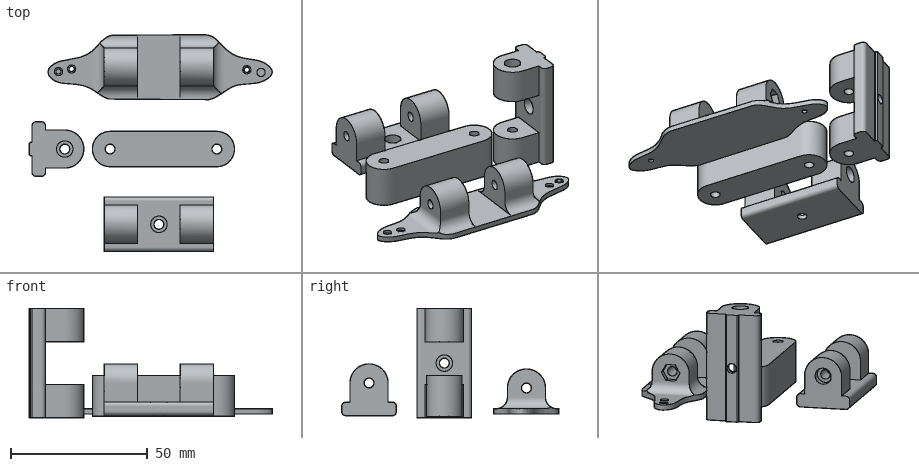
import cadquery as cq
import math

LENGTH = 40.0
GAP = 15.5
POST_RADIUS = 7.0
SCREW_DIAMETER = 3.5
HEAD_DIAMETER = 6.0
HEAD_DEPTH = 3.25
OVERLAP = 1.0

BASE_WIDTH = 20.0
BASE_THICKNESS = 5.0
BASE_EDGE_RADIUS = 1.5
BRACKET_AXIS_HEIGHT = BASE_THICKNESS + POST_RADIUS
RAIL_WIDTH = 5.0
RAIL_HEIGHT = 1.0
RAIL_CHAMFER = 0.5

LINK_WIDTH = 13.0
LINK_HEIGHT = 15.0
LINK_HOLE_SPACING = 39.0

PLATE_THICKNESS = 2.0
PLATE_AXIS_HEIGHT = 9.5
FLARE_RADIUS = 4.0
NUT_ACROSS_FLATS = 6.0
NUT_DEPTH = 2.5
POCKET_DIAMETER = 3.0
POCKET_DEPTH = 1.0
SMALL_DIAMETER = 1.84
STUB_POCKET = (-36.7, -1.7)
OPEN_POCKET = (37.3, -2.0)
THROUGH_HOLES = [(-31.9, -0.75), (32.1, -1.05)]

LEFT_END = [
    (-17.0, 11.6), (-18.6, 11.1), (-21.9, 8.4), (-24.3, 5.9), (-27.6, 4.0), (-34.1, 2.5), (-38.2, 1.2),
    (-40.55, -1.85),
    (-38.2, -5.0), (-34.1, -6.1), (-27.6, -6.9), (-24.3, -8.3), (-20.3, -10.9), (-18.0, -11.8),
]
RIGHT_END = [
    (16.2, 11.83), (18.1, 11.6), (19.8, 10.9), (22.2, 8.8), (24.6, 6.4), (27.9, 4.2), (34.4, 2.7),
    (38.5, 1.5),
    (41.42, -1.9),
    (38.5, -5.0), (34.4, -6.1), (27.9, -6.9), (24.6, -8.6), (21.4, -10.7), (18.3, -12.0),
]

BRACKET_POSITION = (0, -27.5, -19.25)
RAIL_BRACKET_POSITION = (-46.4, 0, 0)
LINK_POSITION = (1.65, 0, -19.5)
PLATE_POSITION = (0, 30.0, -18.6)


def rod_along_x(diameter, start, length, height):
    """Cylinder lying along X at the given height."""
    return cq.Workplane("YZ", origin=(start, 0, height)).circle(diameter / 2).extrude(length)


def screw_bore(axis_height):
    """Cutter for the screw through both posts."""
    return rod_along_x(SCREW_DIAMETER, -LENGTH / 2 - OVERLAP, LENGTH + 2 * OVERLAP, axis_height)


def gap_cutter(floor_height):
    """Block that clears the space between the posts, down to the floor."""
    size = 2 * LENGTH
    return cq.Workplane("XY", origin=(0, 0, floor_height)).box(GAP, size, size, centered=(True, True, False))


def make_bracket():
    """Base with two round-headed posts: length along X, underside at Z = 0."""
    base = (
        cq.Workplane("XY")
        .box(LENGTH, BASE_WIDTH, BASE_THICKNESS, centered=(True, True, False))
        .edges("|X")
        .fillet(BASE_EDGE_RADIUS)
    )
    posts = (
        cq.Workplane("YZ", origin=(-LENGTH / 2, 0, 0))
        .moveTo(-POST_RADIUS, BASE_THICKNESS / 2)
        .lineTo(-POST_RADIUS, BRACKET_AXIS_HEIGHT)
        .threePointArc((0, BRACKET_AXIS_HEIGHT + POST_RADIUS), (POST_RADIUS, BRACKET_AXIS_HEIGHT))
        .lineTo(POST_RADIUS, BASE_THICKNESS / 2)
        .close()
        .extrude(LENGTH)
        .cut(gap_cutter(BASE_THICKNESS))
    )
    head_recess = rod_along_x(HEAD_DIAMETER, -LENGTH / 2, HEAD_DEPTH, BRACKET_AXIS_HEIGHT)
    body = base.union(posts).cut(screw_bore(BRACKET_AXIS_HEIGHT)).cut(head_recess)
    return body.cut(mounting_hole())


def mounting_hole():
    """Counterbored screw hole down through the middle of the base and any rail below it."""
    shank = (
        cq.Workplane("XY", origin=(0, 0, -RAIL_HEIGHT - OVERLAP))
        .circle(SCREW_DIAMETER / 2)
        .extrude(RAIL_HEIGHT + BASE_THICKNESS + 2 * OVERLAP)
    )
    head = (
        cq.Workplane("XY", origin=(0, 0, BASE_THICKNESS - HEAD_DEPTH))
        .circle(HEAD_DIAMETER / 2)
        .extrude(HEAD_DEPTH + OVERLAP)
    )
    return shank.union(head)


def make_rail_bracket():
    """Bracket with a chamfered rail along its underside, stood on end so its length is along Z."""
    rail = (
        cq.Workplane("XY", origin=(0, 0, -RAIL_HEIGHT))
        .box(LENGTH, RAIL_WIDTH, RAIL_HEIGHT, centered=(True, True, False))
        .faces("<Z")
        .edges("|X")
        .chamfer(RAIL_CHAMFER)
    )
    body = make_bracket().union(rail).cut(mounting_hole())
    return body.rotate((0, 0, 0), (0, 1, 0), 90)


def make_link():
    """Bar with round ends and a screw hole at the centre of each."""
    return (
        cq.Workplane("XY")
        .slot2D(LINK_HOLE_SPACING + LINK_WIDTH, LINK_WIDTH)
        .extrude(LINK_HEIGHT)
        .faces(">Z")
        .workplane()
        .pushPoints([(-LINK_HOLE_SPACING / 2, 0), (LINK_HOLE_SPACING / 2, 0)])
        .hole(SCREW_DIAMETER)
    )


def plate_outline(height):
    """The plate's outline, straight at front and back with freeform ends, extruded upwards."""
    right_end_reversed = RIGHT_END[::-1]
    return (
        cq.Workplane("XY")
        .moveTo(*LEFT_END[0])
        .spline(LEFT_END[1:], includeCurrent=True)
        .lineTo(*right_end_reversed[0])
        .spline(right_end_reversed[1:], includeCurrent=True)
        .close()
        .extrude(height)
    )


def flared_profile(plane, half_width):
    """Upright profile on the plane, bounded by the posts' sides with a concave flare at each foot."""
    top = PLATE_AXIS_HEIGHT + POST_RADIUS
    flare_top = PLATE_THICKNESS + FLARE_RADIUS
    outer = half_width + FLARE_RADIUS
    bend = FLARE_RADIUS * (1 - math.sqrt(0.5))
    bend_side = half_width + bend
    bend_height = PLATE_THICKNESS + bend
    return (
        cq.Workplane(plane)
        .moveTo(-outer, 0)
        .lineTo(-outer, PLATE_THICKNESS)
        .threePointArc((-bend_side, bend_height), (-half_width, flare_top))
        .lineTo(-half_width, top)
        .lineTo(half_width, top)
        .lineTo(half_width, flare_top)
        .threePointArc((bend_side, bend_height), (outer, PLATE_THICKNESS))
        .lineTo(outer, 0)
        .close()
        .extrude(LENGTH, both=True)
    )


def plate_posts():
    """Two posts that flare into the plate at their sides and outer ends, with mitred corners."""
    across = flared_profile("YZ", POST_RADIUS).intersect(round_top())
    along = flared_profile("XZ", LENGTH / 2)
    return across.intersect(along).cut(gap_cutter(PLATE_THICKNESS))


def round_top():
    """Long block up to the post axis, with the posts' round heads above it."""
    half_depth = POST_RADIUS + FLARE_RADIUS
    block = cq.Workplane("XY").box(
        2 * LENGTH, 2 * half_depth, PLATE_AXIS_HEIGHT, centered=(True, True, False)
    )
    head = rod_along_x(2 * POST_RADIUS, -LENGTH, 2 * LENGTH, PLATE_AXIS_HEIGHT)
    return block.union(head)


def nut_trap():
    """Hexagonal recess in the outer face of the left post."""
    across_corners = NUT_ACROSS_FLATS / math.cos(math.pi / 6)
    return (
        cq.Workplane("YZ", origin=(-LENGTH / 2, 0, PLATE_AXIS_HEIGHT))
        .polygon(6, across_corners)
        .extrude(NUT_DEPTH)
    )


def plate_pockets():
    """Cutter for the small round pockets in the two ends of the plate."""
    pockets = (
        cq.Workplane("XY", origin=(0, 0, PLATE_THICKNESS - POCKET_DEPTH))
        .pushPoints([STUB_POCKET, OPEN_POCKET, *THROUGH_HOLES])
        .circle(POCKET_DIAMETER / 2)
        .extrude(POCKET_DEPTH)
    )
    stub = (
        cq.Workplane("XY")
        .pushPoints([STUB_POCKET])
        .circle(SMALL_DIAMETER / 2)
        .extrude(PLATE_THICKNESS)
    )
    holes = (
        cq.Workplane("XY")
        .pushPoints(THROUGH_HOLES)
        .circle(SMALL_DIAMETER / 2)
        .extrude(PLATE_THICKNESS)
    )
    return pockets.cut(stub).union(holes)


def make_horn_plate():
    """Thin plate with two flared posts; its outline trims the flares."""
    clipped_posts = plate_posts().intersect(plate_outline(PLATE_AXIS_HEIGHT + POST_RADIUS))
    return (
        plate_outline(PLATE_THICKNESS)
        .union(clipped_posts)
        .cut(screw_bore(PLATE_AXIS_HEIGHT))
        .cut(nut_trap())
        .cut(plate_pockets())
    )


bracket = make_bracket().translate(BRACKET_POSITION)
rail_bracket = make_rail_bracket().translate(RAIL_BRACKET_POSITION)
link = make_link().translate(LINK_POSITION)
horn_plate = make_horn_plate().translate(PLATE_POSITION)

result = cq.Compound.makeCompound([bracket.val(), rail_bracket.val(), link.val(), horn_plate.val()])